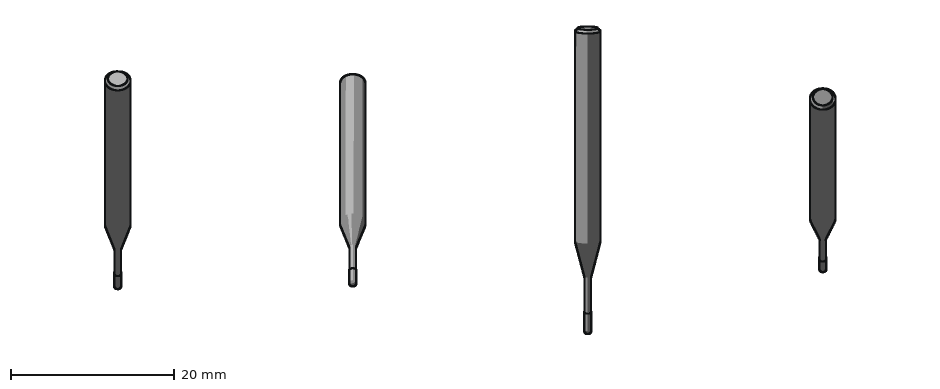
import cadquery as cq

total_length = 38.1
shank_radius = 3.15 / 2
shank_chamfer = 0.4

head_radius = 0.9 / 2
neck_radius = 0.85 / 2
head_length = 2.65
relief_length = 0.15
neck_top = 7.1
collar_length = 0.1
cone_top = 11.55

collar_top = neck_top + collar_length


def make_shank():
    """Shank, cone, neck and the short taper that meets the head, as one turned body."""
    return (
        cq.Workplane("XZ")
        .moveTo(0, head_length)
        .lineTo(head_radius, head_length)
        .lineTo(neck_radius, head_length + relief_length)
        .lineTo(neck_radius, neck_top)
        .lineTo(head_radius, collar_top)
        .lineTo(shank_radius, cone_top)
        .lineTo(shank_radius, total_length - shank_chamfer)
        .lineTo(shank_radius - shank_chamfer, total_length)
        .lineTo(0, total_length)
        .close()
        .revolve(360, (0, 0, 0), (0, 1, 0))
    )


def make_head():
    """Cylindrical cutting head with a ball nose at the bottom."""
    diagonal = head_radius * 0.5 ** 0.5
    return (
        cq.Workplane("XZ")
        .threePointArc((diagonal, head_radius - diagonal), (head_radius, head_radius))
        .lineTo(head_radius, head_length)
        .lineTo(0, head_length)
        .close()
        .revolve(360, (0, 0, 0), (0, 1, 0))
    )


shank = make_shank()
head = make_head()
result = cq.Compound.makeCompound([shank.val(), head.val()])